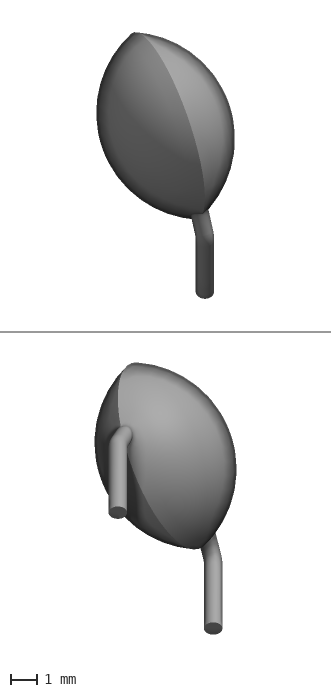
import cadquery as cq
import math

body_diameter = 7.5
body_thickness = 5.0
overall_height = 9.6

wire_diameter = 0.7
lead_spacing = body_diameter
lead_straight_length = 3.27
bend_radius = wire_diameter
bend_angle = 30.0
slope_length = 1.73

body_radius = body_diameter / 2
body_center_z = overall_height - body_radius


def make_body():
    """Two equal spherical caps meeting at a sharp circular rim."""
    half_thickness = body_thickness / 2
    cap_radius = (body_radius**2 + half_thickness**2) / (2 * half_thickness)
    cap_center = half_thickness - cap_radius
    mid_x = cap_radius * math.sin(math.pi / 4)
    mid_y = cap_center + cap_radius * math.cos(math.pi / 4)
    half_section = (
        cq.Workplane("XY")
        .moveTo(0, -half_thickness)
        .threePointArc((mid_x, -mid_y), (body_radius, 0))
        .threePointArc((mid_x, mid_y), (0, half_thickness))
        .close()
    )
    lens = half_section.revolve(360, (0, 0, 0), (0, 1, 0))
    return lens.translate((0, 0, body_center_z))


def make_left_lead():
    """Wire that rises straight, bends inward and runs into the body."""
    lead_x = -lead_spacing / 2
    angle = math.radians(bend_angle)

    def bend_point(turn):
        return (
            lead_x + bend_radius * (1 - math.cos(turn)),
            lead_straight_length + bend_radius * math.sin(turn),
        )

    bend_end = bend_point(angle)
    slope_end = (
        bend_end[0] + slope_length * math.sin(angle),
        bend_end[1] + slope_length * math.cos(angle),
    )
    path = (
        cq.Workplane("XZ")
        .moveTo(lead_x, 0)
        .lineTo(lead_x, lead_straight_length)
        .threePointArc(bend_point(angle / 2), bend_end)
        .lineTo(*slope_end)
    )
    section_plane = cq.Plane((lead_x, 0, 0), (0, 1, 0), (0, 0, 1))
    return cq.Workplane(section_plane).circle(wire_diameter / 2).sweep(path)


left_lead = make_left_lead()
right_lead = left_lead.mirror("YZ")
result = make_body().union(left_lead).union(right_lead)